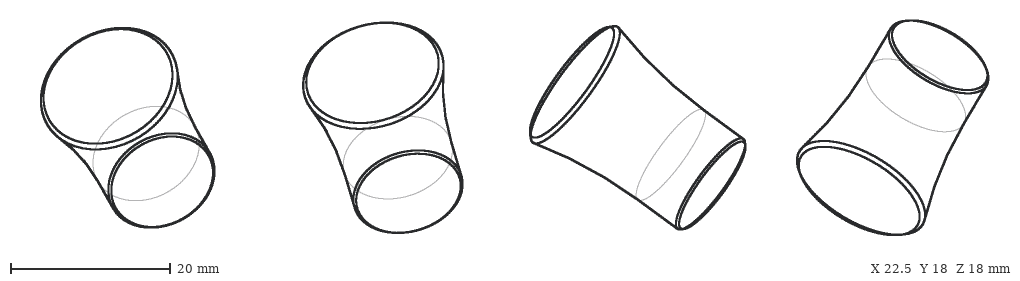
import cadquery as cq
import math

length = 22.5
head_diameter = 18.02
neck_diameter = 14.0

neck_length = 6.65
head_chamfer = 0.52
neck_chamfer = 0.3

head_radius = head_diameter / 2
neck_radius = neck_diameter / 2
flare_start = head_chamfer
flare_end = length - neck_length

flare_length = flare_end - flare_start
flare_rise = head_radius - neck_radius
flare_radius = (flare_length**2 + flare_rise**2) / (2 * flare_rise)


def flare_height(x):
    """Distance of the flare from the axis at position x."""
    center_height = neck_radius + flare_radius
    return center_height - math.sqrt(flare_radius**2 - (flare_end - x) ** 2)


flare_middle = (flare_start + flare_end) / 2

profile = (
    cq.Workplane("XY")
    .lineTo(0, head_radius - head_chamfer)
    .lineTo(flare_start, head_radius)
    .threePointArc((flare_middle, flare_height(flare_middle)), (flare_end, neck_radius))
    .lineTo(length - neck_chamfer, neck_radius)
    .lineTo(length, neck_radius - neck_chamfer)
    .lineTo(length, 0)
    .close()
)

result = profile.revolve(360, (0, 0, 0), (1, 0, 0))